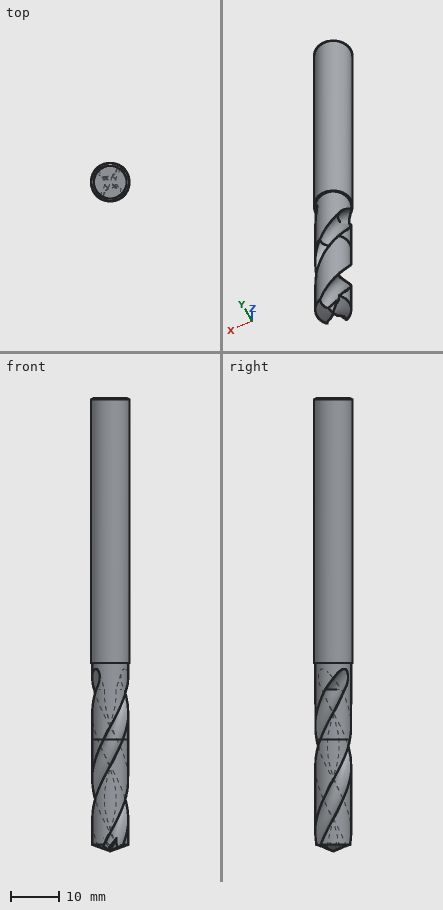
import cadquery as cq
import math

total_length = 94.0
shank_diameter = 8.0
cut_diameter = 7.5
shank_start = 39.0
tip_length = 23.2
point_angle = 140.0
chamfer_width = 0.6
chamfer_angle = 30.0

flute_count = 2
flute_pitch = 44.0
flute_half_angle = 33.0
core_radius = 1.2
flute_start_angle = -268.4
runout_start = 33.6
runout_length = 6.2
runout_lead = 1.3

gash_slope = 59.0
gash_direction = -31.0
gash_offset = 0.1
gash_wall_lean = 17.0
gash_size = 5.0

shank_radius = shank_diameter / 2
cut_radius = cut_diameter / 2
point_height = cut_radius / math.tan(math.radians(point_angle / 2))
chamfer_height = chamfer_width * math.tan(math.radians(chamfer_angle))

rim_half_chord = cut_radius * math.sin(math.radians(flute_half_angle))
rim_depth = cut_radius * math.cos(math.radians(flute_half_angle)) - core_radius
flute_radius = (rim_depth**2 + rim_half_chord**2) / (2 * rim_depth)
flute_center = core_radius + flute_radius


def helical_flute():
    """Twisted cutter from the point up to the runout, first flute."""
    twist = 360 * runout_start / flute_pitch
    return (
        cq.Workplane("XY")
        .moveTo(flute_center, 0).circle(flute_radius)
        .twistExtrude(runout_start, twist)
        .rotate((0, 0, 0), (0, 0, 1), flute_start_angle)
    )


def flute_runout():
    """Straight cutter that carries on along the helix while rising out of the body."""
    rise = cut_radius - core_radius
    drift = runout_lead * runout_length * 2 * math.pi * cut_radius / flute_pitch
    section = cq.Wire.makeCircle(flute_radius, cq.Vector(flute_center, 0, runout_start), cq.Vector(0, 0, 1))
    cutter = cq.Solid.extrudeLinear(section, [], cq.Vector(rise, drift, runout_length))
    end_angle = flute_start_angle + 360 * runout_start / flute_pitch
    return cq.Workplane(cutter).rotate((0, 0, 0), (0, 0, 1), end_angle)


def cut_flutes(body):
    for index in range(flute_count):
        turn = 360 * index / flute_count
        for cutter in (helical_flute(), flute_runout()):
            body = body.cut(cutter.rotate((0, 0, 0), (0, 0, 1), turn))
    return body


def point_gash():
    """V-groove climbing from beside the axis into the first flute."""
    wall_run = gash_size * math.tan(math.radians(gash_wall_lean))
    return (
        cq.Workplane("YZ")
        .polyline([(0, 0), (-gash_size, 0), (-gash_size, -gash_size), (-wall_run, -gash_size)])
        .close()
        .extrude(gash_size)
        .rotate((0, 0, 0), (0, 1, 0), -gash_slope)
        .translate((0, -gash_offset, 0))
        .rotate((0, 0, 0), (0, 0, 1), gash_direction)
    )


def cut_gashes(body):
    for index in range(flute_count):
        turn = 360 * index / flute_count
        body = body.cut(point_gash().rotate((0, 0, 0), (0, 0, 1), turn))
    return body


def make_tip():
    blank = (
        cq.Workplane("XZ")
        .polyline([(0, 0), (cut_radius, point_height), (cut_radius, tip_length), (0, tip_length)])
        .close()
        .revolve(360, (0, 0, 0), (0, 1, 0))
    )
    return cut_gashes(cut_flutes(blank))


def make_shank():
    blank = (
        cq.Workplane("XZ")
        .polyline([
            (0, tip_length),
            (cut_radius, tip_length),
            (cut_radius, shank_start),
            (shank_radius, shank_start),
            (shank_radius, total_length - chamfer_height),
            (shank_radius - chamfer_width, total_length),
            (0, total_length),
        ])
        .close()
        .revolve(360, (0, 0, 0), (0, 1, 0))
    )
    return cut_flutes(blank)


tip = make_tip()
shank = make_shank()
result = cq.Compound.makeCompound([tip.val(), shank.val()])